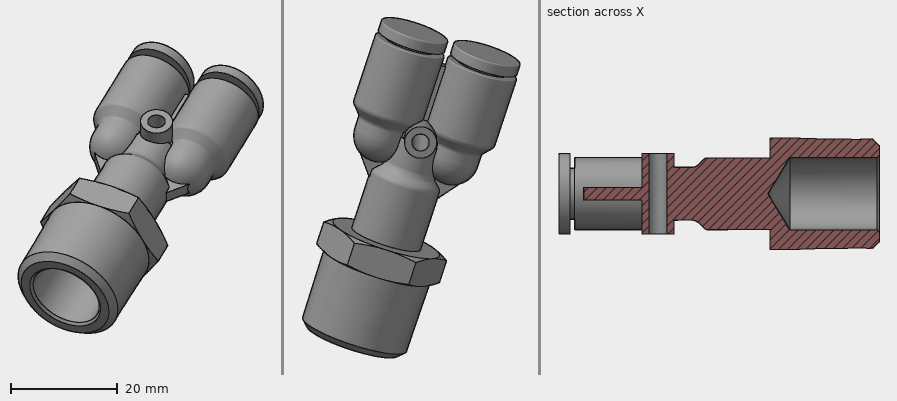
import cadquery as cq
import math


length = 60.1
overall_width = 27.8

thread_root_radius = 10.45
thread_tip_radius = 10.3
thread_face_radius = 9.0
thread_chamfer_length = 1.25
bore_radius = 6.8
bore_mouth_radius = 7.3
bore_mouth_depth = 0.5
bore_depth = 16.8
drill_point_angle = 118.0

hex_start = 14.95
hex_end = 20.55
hex_across_flats = 21.0
hex_chamfer_length = 0.6

body_radius = 6.8
neck_radius = 5.0
stem_end = 32.65
stem_shoulder_end = stem_end + body_radius - neck_radius
neck_end = 40.55
stem_shoulder_fillet = 1.0
neck_fillet = 1.7

arm_offset = overall_width / 2 - body_radius
arm_sphere_center = 38.95
arm_shoulder_start = 41.45
arm_shoulder_end = 43.5
arm_end = 57.15
arm_shoulder_fillet = 1.0
arm_root_fillet = 0.8
arm_rim_fillet = 0.25

cap_collar_radius = 4.8
cap_thickness = 2.1
cap_half_width = 6.55
cap_half_height = 7.6
cap_edge_fillet = 0.25

eyelet_y = 41.5
eyelet_radius = 3.0
eyelet_hole_radius = 1.6
eyelet_height = 2 * cap_half_height

pad_end = 43.0
pad_width = 7.8
pad_height = 6.75

web_thickness = 2.4
web_end = 55.5
gusset_start = 31.1
gusset_angle = 52.0
gusset_edge_length = 6.0


def revolve_about_y(profile):
    """Revolve a closed XY profile that touches the Y axis."""
    return profile.close().revolve(360, (0, 0, 0), (0, 1, 0))


def circle_edge(y):
    """Selector box for the circular edge lying in the plane Y = y."""
    reach = length
    slack = 0.03
    return cq.selectors.BoxSelector((-reach, y - slack, -reach), (reach, y + slack, reach))


def cylinder_along_y(radius, start, end):
    return cq.Workplane("XZ", origin=(0, start, 0)).circle(radius).extrude(start - end)


def make_thread():
    profile = (
        cq.Workplane("XY")
        .lineTo(thread_face_radius, 0)
        .lineTo(thread_tip_radius, thread_chamfer_length)
        .lineTo(thread_root_radius, hex_start)
        .lineTo(0, hex_start)
    )
    return revolve_about_y(profile)


def make_hexagon():
    corner_radius = hex_across_flats / math.sqrt(3)
    flat_radius = hex_across_flats / 2
    prism = (
        cq.Workplane("XZ", origin=(0, hex_start, 0))
        .polygon(6, 2 * corner_radius)
        .extrude(hex_start - hex_end)
    )
    chamfer_envelope = revolve_about_y(
        cq.Workplane("XY")
        .moveTo(0, hex_start)
        .lineTo(flat_radius, hex_start)
        .lineTo(corner_radius, hex_start + hex_chamfer_length)
        .lineTo(corner_radius, hex_end - hex_chamfer_length)
        .lineTo(flat_radius, hex_end)
        .lineTo(0, hex_end)
    )
    return prism.intersect(chamfer_envelope)


def make_stem():
    """Stem that narrows over a filleted cone to the neck between the arms."""
    profile = (
        cq.Workplane("XY")
        .moveTo(0, hex_end)
        .lineTo(body_radius, hex_end)
        .lineTo(body_radius, stem_end)
        .lineTo(neck_radius, stem_shoulder_end)
        .lineTo(neck_radius, neck_end)
        .lineTo(0, neck_end)
    )
    stem = revolve_about_y(profile)
    stem = stem.edges(circle_edge(stem_end)).fillet(stem_shoulder_fillet)
    return stem.edges(circle_edge(stem_shoulder_end)).fillet(neck_fillet)


def make_arm():
    """Tube port on the Y axis: round root, conical shoulder, barrel and oval release cap."""
    profile = (
        cq.Workplane("XY")
        .moveTo(0, arm_sphere_center - neck_radius)
        .radiusArc((neck_radius, arm_sphere_center), -neck_radius)
        .lineTo(neck_radius, arm_shoulder_start)
        .lineTo(body_radius, arm_shoulder_end)
        .lineTo(body_radius, arm_end)
        .lineTo(0, arm_end)
    )
    barrel = revolve_about_y(profile)
    barrel = barrel.edges(circle_edge(arm_shoulder_start)).fillet(arm_root_fillet)
    barrel = barrel.edges(circle_edge(arm_shoulder_end)).fillet(arm_shoulder_fillet)
    barrel = barrel.edges(circle_edge(arm_end)).fillet(arm_rim_fillet)

    collar = cylinder_along_y(cap_collar_radius, arm_end, length - cap_thickness)
    cap = (
        cq.Workplane("XZ", origin=(0, length - cap_thickness, 0))
        .ellipse(cap_half_width, cap_half_height)
        .extrude(-cap_thickness)
        .edges(">Y")
        .fillet(cap_edge_fillet)
    )
    return barrel.union(collar).union(cap)


def make_web():
    angle = math.radians(gusset_angle)
    gusset_x = body_radius + gusset_edge_length * math.cos(angle)
    gusset_y = gusset_start + gusset_edge_length * math.sin(angle)
    half_outline = [
        (0, gusset_start),
        (body_radius, gusset_start),
        (gusset_x, gusset_y),
        (arm_offset, arm_sphere_center),
        (arm_offset, web_end),
        (0, web_end),
    ]
    half = cq.Workplane("XY").polyline(half_outline).close().extrude(web_thickness / 2, both=True)
    return half.union(half.mirror("YZ"))


def eyelet_cylinder(radius):
    return (
        cq.Workplane("XY")
        .center(0, eyelet_y)
        .circle(radius)
        .extrude(eyelet_height / 2, both=True)
    )


def make_eyelet_pad():
    pad_length = pad_end - neck_end
    return cq.Workplane("XY", origin=(0, neck_end + pad_length / 2, 0)).box(pad_width, pad_length, pad_height)


def make_bore():
    """Blind bore from the threaded end, with a chamfered mouth and a drill point."""
    point_length = bore_radius / math.tan(math.radians(drill_point_angle / 2))
    profile = (
        cq.Workplane("XY")
        .lineTo(bore_mouth_radius, 0)
        .lineTo(bore_radius, bore_mouth_depth)
        .lineTo(bore_radius, bore_depth)
        .lineTo(0, bore_depth + point_length)
    )
    return revolve_about_y(profile)


result = make_thread().union(make_hexagon()).union(make_stem()).union(make_web())

arm = make_arm()
for side in (-1, 1):
    result = result.union(arm.translate((side * arm_offset, 0, 0)))

result = result.union(make_eyelet_pad()).union(eyelet_cylinder(eyelet_radius))
result = result.cut(eyelet_cylinder(eyelet_hole_radius))
result = result.cut(make_bore())